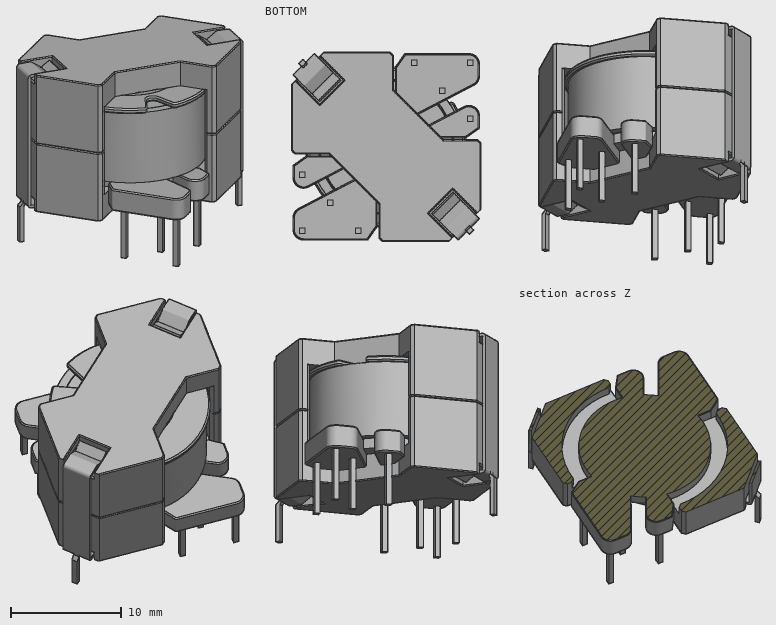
import cadquery as cq
import math


core_size = 17.2
core_height = 13.45
corner_cut = 2.96
shoulder_offset = 0.65
shoulder_end = 5.2
shoulder_chamfer = 0.3
core_bevel = 0.1
plate_thickness = 2.41
window_diameter = 15.0
window_flat_width = 10.15
half_size = core_size / 2
half_height = core_height / 2
window_height = core_height - 2 * plate_thickness
waist_width = (shoulder_offset + shoulder_end) * math.sqrt(2)
core_face = (core_size - corner_cut) / math.sqrt(2)

slot_end = 7.0
slot_width = 3.05
slot_depth = 0.92
slot_lip = 0.15

inner_layer_diameter = 12.22
outer_layer_inner_diameter = 12.32
winding_diameter = 13.92
flange_diameter = 14.6
flange_thickness = 0.52
flange_bevel = 0.14
flange_clearance = 0.28
base_diameter = 12.0
pad_bottom = 1.23
pad_top = 3.34
flange_top = core_height - plate_thickness - flange_clearance
flange_bottom = flange_top - flange_thickness

notch_apex = 3.8
notch_half_angle = 21.7
notch_tip_radius = 0.58
notch_corner_radius = 0.3

pad_edge = 8.46
pad_radius = 0.96
pad_bevel = 0.12
pad_small_radius = 0.15
pad_shoulder = 1.68
pad_root = (0.82, 7.23)
pad_inner = 2.9
pad_slope = math.tan(math.radians(27.5))
pad_slope_corner = 5.85
small_pad_y = 2.8

pin_pitch = 2.54
pin_width = 0.5
pin_length = 3.53

clip_width = 2.74
clip_thickness = 0.28
clip_face = 10.6
clip_bend_radius = 0.35
clip_ridge_radius = 0.2
clip_recess = 0.15
clip_flat_end = 9.14
clip_dip = 8.16
clip_dip_depth = 0.68
clip_tip = 7.33
clip_tip_drop = 0.12
clip_pin_width = 0.55
clip_pin_thickness = 0.42
clip_pin_jog_height = 0.35
clip_pin_jog = 0.36
clip_pin_jog_start = 0.28


def both_ends(shape):
    """The shape together with its copy half a turn about Z."""
    return shape.union(shape.rotate((0, 0, 0), (0, 0, 1), 180))


def on_diagonal(shape):
    """Turn a shape built along +X onto the X = Y diagonal, at both of its ends."""
    return both_ends(shape.rotate((0, 0, 0), (0, 0, 1), 45))


def disc(diameter, bottom, top):
    return cq.Workplane("XY").workplane(offset=bottom).circle(diameter / 2).extrude(top - bottom)


def across(points, width):
    """Extrude an outline in X and Z symmetrically across Y."""
    return cq.Workplane("XZ").polyline(points).close().extrude(width / 2, both=True)


def core_outline():
    """Outline of the core before its two corners on the diagonal are cut off."""
    chamfer_start = half_size - shoulder_chamfer
    chamfer_end = shoulder_offset - shoulder_chamfer
    upper = [
        (half_size, half_size),
        (-chamfer_end, half_size),
        (-shoulder_offset, chamfer_start),
        (-shoulder_offset, shoulder_end),
        (-shoulder_end, shoulder_offset),
        (-chamfer_start, shoulder_offset),
        (-half_size, chamfer_end),
    ]
    return upper + [(-x, -y) for x, y in upper]


def clip_slots():
    lip_edge = core_face - slot_lip
    beyond = half_size * math.sqrt(2)
    outline = [
        (slot_end, 0),
        (slot_end, slot_depth),
        (lip_edge, slot_depth),
        (core_face, slot_depth + slot_lip),
        (beyond, slot_depth + slot_lip),
        (beyond, 0),
    ]
    return on_diagonal(across(outline, slot_width))


def core():
    """Two mirrored halves, bevelled where they meet, with the winding window cut through."""
    half = cq.Workplane("XY").polyline(core_outline()).close().extrude(half_height)
    half = half.cut(clip_slots())
    half = half.faces("<Z").edges().chamfer(core_bevel)
    corner_limit = cq.Workplane("XY").rect(2 * core_face, 2 * core_size).extrude(half_height)
    half = half.intersect(corner_limit.rotate((0, 0, 0), (0, 0, 1), 45))
    half = half.faces(">Z").edges().chamfer(core_bevel)
    whole = half.union(half.mirror("XY", (0, 0, half_height)))
    window = disc(window_diameter, plate_thickness, core_height - plate_thickness)
    flat = (
        cq.Workplane("XY")
        .workplane(offset=plate_thickness)
        .rect(window_flat_width, 2 * core_size)
        .extrude(window_height)
        .rotate((0, 0, 0), (0, 0, 1), 45)
    )
    centre_post = disc(waist_width, plate_thickness, core_height - plate_thickness)
    return whole.cut(window).cut(flat).union(centre_post)


def flange():
    plate = disc(flange_diameter, flange_bottom, flange_top)
    reach = flange_diameter
    spread = (reach - notch_apex) * math.tan(math.radians(notch_half_angle))
    notch = (
        cq.Workplane("XY")
        .workplane(offset=flange_bottom)
        .polyline([(notch_apex, 0), (reach, -spread), (reach, spread)])
        .close()
        .extrude(flange_thickness)
        .edges("|Z and <X")
        .fillet(notch_tip_radius)
        .rotate((0, 0, 0), (0, 0, 1), -45)
    )
    plate = plate.cut(notch)
    plate = plate.edges("|Z").edges(">X or <Y").fillet(notch_corner_radius)
    return plate.faces("<Z or >Z").edges().chamfer(flange_bevel)


def winding():
    """Two coaxial layers with a narrow gap between them."""
    inner = disc(inner_layer_diameter, pad_top, flange_bottom)
    outer = disc(winding_diameter, pad_top, flange_bottom)
    return outer.cut(disc(outer_layer_inner_diameter, pad_top, flange_bottom)).union(inner)


def large_pad():
    slope_end_y = pad_slope_corner - pad_slope * (pad_edge - pad_inner)
    outline = [
        (-pad_root[0], pad_root[1]),
        (-pad_shoulder, pad_edge),
        (-pad_edge, pad_edge),
        (-pad_edge, pad_slope_corner),
        (-pad_inner, slope_end_y),
        (-pad_root[0], slope_end_y),
    ]
    pad = cq.Workplane("XY").workplane(offset=pad_bottom).polyline(outline).close()
    pad = pad.extrude(pad_top - pad_bottom)
    pad = pad.edges("|Z and <X").fillet(pad_radius)
    pad = pad.edges("|Z and >Y").edges(">X").fillet(pad_small_radius)
    return pad.faces("<Z or >Z").edges().chamfer(pad_bevel)


def small_pad():
    centre_x = pad_radius - pad_edge
    normal = math.atan(1 / pad_slope)
    tangent_x = centre_x + pad_radius * math.cos(normal)
    tangent_y = small_pad_y + pad_radius * math.sin(normal)
    middle = (math.pi + normal) / 2
    arc_middle = (centre_x + pad_radius * math.cos(middle), small_pad_y + pad_radius * math.sin(middle))
    pad = (
        cq.Workplane("XY")
        .workplane(offset=pad_bottom)
        .moveTo(-pad_edge, pad_shoulder)
        .lineTo(-pad_edge, small_pad_y)
        .threePointArc(arc_middle, (tangent_x, tangent_y))
        .lineTo(-pad_inner, tangent_y - pad_slope * (-pad_inner - tangent_x))
        .lineTo(-pad_inner, pad_root[0])
        .lineTo(-pad_root[1], pad_root[0])
        .close()
        .extrude(pad_top - pad_bottom)
    )
    pad = pad.edges("|Z and <X").edges("<Y").fillet(pad_small_radius)
    return pad.faces("<Z or >Z").edges().chamfer(pad_bevel)


def pins():
    places = [
        (-3 * pin_pitch, 3 * pin_pitch),
        (-pin_pitch, 3 * pin_pitch),
        (-2 * pin_pitch, 2 * pin_pitch),
        (-3 * pin_pitch, pin_pitch),
    ]
    start = (pad_bottom + pad_top) / 2
    posts = cq.Workplane("XY").workplane(offset=-pin_length).pushPoints(places)
    return both_ends(posts.rect(pin_width, pin_width).extrude(start + pin_length))


def bobbin():
    base = disc(base_diameter, plate_thickness, pad_top)
    pads = both_ends(large_pad().union(small_pad()))
    return base.union(pads).union(winding()).union(flange()).union(pins())


def clip_arm():
    """Upper half of a clip: the upright plate, the bend, the flat and the V that dips into the slot."""
    top = core_height - clip_recess
    dip = top - clip_dip_depth
    tip = top - clip_tip_drop
    inner_face = clip_face - clip_thickness
    steepness = math.atan2(tip - dip, clip_dip - clip_tip)
    drop = clip_thickness / math.cos(steepness)
    outline = [
        (clip_face, half_height),
        (clip_face, top),
        (clip_flat_end, top),
        (clip_dip, dip),
        (clip_tip, tip),
        (clip_tip - clip_thickness * math.sin(steepness), tip - clip_thickness * math.cos(steepness)),
        (clip_dip, dip - drop),
        (clip_flat_end, top - clip_thickness),
        (inner_face, top - clip_thickness),
        (inner_face, half_height),
    ]
    arm = across(outline, clip_width)
    arm = arm.edges("|Y and >Z").edges("<X").fillet(clip_ridge_radius)
    return arm.edges("|Y and >X and >Z").fillet(clip_bend_radius)


def clip_pin():
    """Tab that crosses the lower bend, steps outward and runs straight down as a pin."""
    bend_end = clip_recess + clip_bend_radius
    plate_inner_face = clip_face - clip_thickness
    outer_face = clip_face + clip_pin_jog
    inner_face = outer_face - clip_pin_thickness
    jog_end = clip_pin_jog_start - clip_pin_jog_height
    outline = [
        (plate_inner_face, bend_end),
        (clip_face, bend_end),
        (clip_face, clip_pin_jog_start),
        (outer_face, jog_end),
        (outer_face, -pin_length),
        (inner_face, -pin_length),
        (inner_face, jog_end),
        (plate_inner_face, clip_pin_jog_start),
    ]
    return across(outline, clip_pin_width)


def clips():
    arm = clip_arm()
    clip = arm.union(arm.mirror("XY", (0, 0, half_height))).union(clip_pin())
    return on_diagonal(clip)


result = core().union(bobbin()).union(clips())